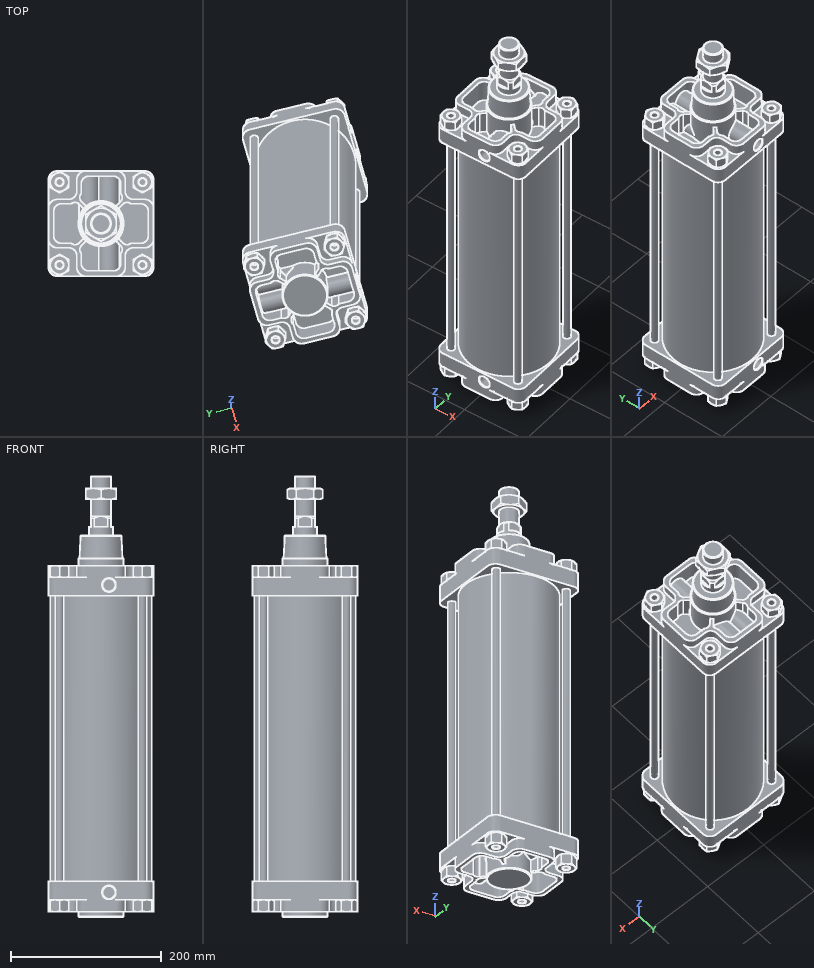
import cadquery as cq
import math

TOTAL_LENGTH = 585
CAP_SIZE = 140.0
CAP_HEIGHT = 40.5
PILOT_DIAMETER = 60.0
PILOT_HEIGHT = 7.0
FRONT_CAP_TOP = 466.0
FRONT_CAP_BOTTOM = FRONT_CAP_TOP - CAP_HEIGHT
REAR_CAP_BOTTOM = PILOT_HEIGHT
REAR_CAP_TOP = REAR_CAP_BOTTOM + CAP_HEIGHT

CORNER_RADIUS = 12.0
INNER_CORNER_RADIUS = 10.5
RECESS_DEPTH = 16.0
LOBE_HALF_WIDTH = 32.0
POCKET_FLOOR = 7.0
POCKET_HALF_WIDTH = 26.5
POCKET_WALL = 7.0
RELIEF_DIAMETER = 15.0
RELIEF_REACH = 28.0
RIB_THICKNESS = 4.5
PILOT_CHAMFER = 1.0

PORT_MOUTH_DIAMETER = 19.0
PORT_DIAMETER = 17.0
PORT_OFFSET = 10.5
PORT_HEIGHT = 14.5
PORT_DEPTH = 35
PORT_BOSS_DIAMETER = 27.0
BLIND_BOSS_OFFSET = -16.0
BLIND_BOSS_HEIGHT = 10.5

BARREL_DIAMETER = 135.0
TIE_ROD_DIAMETER = 11.0
TIE_ROD_SPACING = 110.0
TIE_NUT_FLATS = 24.5
TIE_NUT_HOLE = 10.0
TIE_NUT_HOLE_CHAMFER = 0.5

GLAND_SHOULDER_TOP = 476.0
GLAND_TOP = 506.5
GLAND_CONE_BASE_DIAMETER = 57.5
GLAND_CHAMFER = 1.0
GLAND_CONE_TOP_DIAMETER = 54.5

ROD_DIAMETER = 32.0
THREAD_DIAMETER = 27.0
WRENCH_FLATS = 27.0
WRENCH_BOTTOM = 518.0
WRENCH_TOP = 532.0
THREAD_CHAMFER = 1.0
ROD_CHAMFER = (ROD_DIAMETER - THREAD_DIAMETER) / 2

LOCK_NUT_FLATS = 41.0
LOCK_NUT_BOTTOM = 554.0
LOCK_NUT_HEIGHT = 14.5

NUT_CHAMFER_ANGLE = math.radians(30)


def cylinder(diameter, bottom, top):
    return cq.Workplane("XY").workplane(offset=bottom).circle(diameter / 2).extrude(top - bottom)


def hexagon(flats, bottom, height):
    """Hexagonal prism with corners on +Y and -Y, its corners chamfered at both ends."""
    corner_radius = flats / 2 / math.cos(math.pi / 6)
    drop = (corner_radius - flats / 2) * math.tan(NUT_CHAMFER_ANGLE)
    prism = cq.Workplane("XY").polygon(6, 2 * corner_radius).extrude(height)
    prism = prism.rotate((0, 0, 0), (0, 0, 1), 30)
    envelope = (
        cq.Workplane("XZ")
        .polyline([
            (0, 0),
            (flats / 2, 0),
            (corner_radius, drop),
            (corner_radius, height - drop),
            (flats / 2, height),
            (0, height),
        ])
        .close()
        .revolve(360, (0, 0), (0, 1))
    )
    return prism.intersect(envelope).translate((0, 0, bottom))


def corner_recesses():
    """Four corner notches that leave a cross of rounded lobes around the tie-rod nuts."""
    edge = CAP_SIZE / 2
    arc_start = LOBE_HALF_WIDTH - CORNER_RADIUS
    arc_end = edge - CORNER_RADIUS
    bulge = CORNER_RADIUS * math.sqrt(0.5)
    lobe_arc_near = (arc_start + bulge, arc_end + bulge)
    lobe_arc_far = (arc_end + bulge, arc_start + bulge)
    notch = (
        cq.Workplane("XY")
        .workplane(offset=CAP_HEIGHT - RECESS_DEPTH)
        .moveTo(arc_start, edge)
        .threePointArc(lobe_arc_near, (LOBE_HALF_WIDTH, arc_end))
        .lineTo(LOBE_HALF_WIDTH, LOBE_HALF_WIDTH)
        .lineTo(arc_end, LOBE_HALF_WIDTH)
        .threePointArc(lobe_arc_far, (edge, arc_start))
        .lineTo(edge, edge)
        .close()
        .extrude(RECESS_DEPTH)
    )
    inner_corner = cq.selectors.NearestToPointSelector(
        (LOBE_HALF_WIDTH, LOBE_HALF_WIDTH, CAP_HEIGHT - RECESS_DEPTH / 2)
    )
    notch = notch.edges(inner_corner).fillet(INNER_CORNER_RADIUS)
    notches = cq.Workplane("XY")
    for quarter in range(4):
        notches = notches.add(notch.rotate((0, 0, 0), (0, 0, 1), 90 * quarter))
    return notches.combine()


def pocket_cross():
    """Pockets inside the lobes, parted by diagonal ribs and eased by round reliefs beside them."""
    length = CAP_SIZE - 2 * POCKET_WALL
    width = 2 * POCKET_HALF_WIDTH
    depth = CAP_HEIGHT - POCKET_FLOOR
    arm = (
        cq.Workplane("XY")
        .workplane(offset=POCKET_FLOOR)
        .rect(length, width)
        .extrude(depth)
        .edges("|Z")
        .fillet(INNER_CORNER_RADIUS)
    )
    cross = arm.union(arm.rotate((0, 0, 0), (0, 0, 1), 90))
    relief_radius = RELIEF_DIAMETER / 2
    relief_x = RELIEF_REACH - relief_radius
    relief_y = relief_x + RIB_THICKNESS * math.sqrt(0.5) + relief_radius * math.sqrt(2)
    for x, y in ((relief_x, relief_y), (relief_y, relief_x)):
        reliefs = (
            cq.Workplane("XY")
            .workplane(offset=POCKET_FLOOR)
            .rect(2 * x, 2 * y, forConstruction=True)
            .vertices()
            .circle(relief_radius)
            .extrude(depth)
        )
        cross = cross.union(reliefs)
    for angle in (45, 135):
        rib = cq.Workplane("XY").box(CAP_SIZE, RIB_THICKNESS, CAP_HEIGHT, centered=(True, True, False))
        cross = cross.cut(rib.rotate((0, 0, 0), (0, 0, 1), angle))
    return cross


def port_boss(offset, height, start_y, end_y):
    """Round boss along Y, kept within the thickness of the cap."""
    return (
        cq.Workplane("XZ", origin=(offset, end_y, height))
        .circle(PORT_BOSS_DIAMETER / 2)
        .extrude(end_y - start_y)
        .intersect(cq.Workplane("XY").box(CAP_SIZE, CAP_SIZE, CAP_HEIGHT, centered=(True, True, False)))
    )


def end_cap():
    """Cap with its flat barrel side at Z = 0 and its lobed, pocketed side and round pilot facing +Z."""
    half = CAP_SIZE / 2
    cap = (
        cq.Workplane("XY")
        .rect(CAP_SIZE, CAP_SIZE)
        .extrude(CAP_HEIGHT)
        .edges("|Z")
        .fillet(CORNER_RADIUS)
        .cut(corner_recesses())
    )
    boss_end = half - POCKET_WALL / 2
    pockets = pocket_cross()
    pockets = pockets.cut(port_boss(PORT_OFFSET, PORT_HEIGHT, -boss_end, boss_end))
    pockets = pockets.cut(port_boss(BLIND_BOSS_OFFSET, BLIND_BOSS_HEIGHT, 0, boss_end))
    port = (
        cq.Workplane("XZ", origin=(PORT_OFFSET, -half + PORT_DEPTH, PORT_HEIGHT))
        .circle(PORT_DIAMETER / 2)
        .extrude(PORT_DEPTH)
    )
    mouth = (
        cq.Workplane("XZ", origin=(PORT_OFFSET, -half, PORT_HEIGHT))
        .circle(PORT_MOUTH_DIAMETER / 2)
        .workplane(offset=-(PORT_MOUTH_DIAMETER - PORT_DIAMETER) / 2)
        .circle(PORT_DIAMETER / 2)
        .loft()
    )
    hub = cylinder(PILOT_DIAMETER, 0, CAP_HEIGHT + PILOT_HEIGHT)
    hub = hub.faces(">Z").chamfer(PILOT_CHAMFER)
    cap = cap.cut(pockets).cut(port).cut(mouth).union(hub)
    nut = tie_rod_nut()
    for x in (-TIE_ROD_SPACING / 2, TIE_ROD_SPACING / 2):
        for y in (-TIE_ROD_SPACING / 2, TIE_ROD_SPACING / 2):
            cap = cap.union(nut.translate((x, y, 0)))
    return cap


def tie_rod_nut():
    """Hexagon standing on the recess floor, with a blind hole in its end."""
    nut = hexagon(TIE_NUT_FLATS, CAP_HEIGHT - RECESS_DEPTH, RECESS_DEPTH)
    return (
        nut.faces(">Z")
        .workplane(origin=(0, 0, CAP_HEIGHT))
        .cskHole(TIE_NUT_HOLE, TIE_NUT_HOLE + 2 * TIE_NUT_HOLE_CHAMFER, 90, RECESS_DEPTH)
    )


def gland():
    """Shoulder and tapered sleeve that stand on the front cap around the rod."""
    shoulder = cylinder(PILOT_DIAMETER, FRONT_CAP_TOP, GLAND_SHOULDER_TOP)
    shoulder = shoulder.faces(">Z").chamfer(GLAND_CHAMFER)
    sleeve = (
        cq.Workplane("XY")
        .workplane(offset=GLAND_SHOULDER_TOP)
        .circle(GLAND_CONE_BASE_DIAMETER / 2)
        .workplane(offset=GLAND_TOP - GLAND_SHOULDER_TOP)
        .circle(GLAND_CONE_TOP_DIAMETER / 2)
        .loft()
        .faces(">Z")
        .chamfer(GLAND_CHAMFER)
    )
    return shoulder.union(sleeve)


def make_housing():
    """Barrel, both end caps, tie rods and gland, with a blind bore for the rod."""
    cap = end_cap()
    front_cap = cap.translate((0, 0, FRONT_CAP_BOTTOM))
    rear_cap = cap.mirror("XY").translate((0, 0, REAR_CAP_TOP))
    barrel = cylinder(BARREL_DIAMETER, REAR_CAP_TOP, FRONT_CAP_BOTTOM)
    tie_rods = (
        cq.Workplane("XY")
        .workplane(offset=REAR_CAP_TOP)
        .rect(TIE_ROD_SPACING, TIE_ROD_SPACING, forConstruction=True)
        .vertices()
        .circle(TIE_ROD_DIAMETER / 2)
        .extrude(FRONT_CAP_BOTTOM - REAR_CAP_TOP)
    )
    housing = front_cap.union(barrel).union(rear_cap).union(tie_rods).union(gland())
    return housing.cut(cylinder(ROD_DIAMETER, FRONT_CAP_BOTTOM, GLAND_TOP))


def make_rod():
    """Piston rod with four wrench flats below its threaded end."""
    shank = cylinder(ROD_DIAMETER, FRONT_CAP_BOTTOM, WRENCH_TOP).faces(">Z").chamfer(ROD_CHAMFER)
    flat_zone = cq.Workplane("XY").workplane(offset=WRENCH_BOTTOM)
    outside_flats = (
        flat_zone.rect(2 * ROD_DIAMETER, 2 * ROD_DIAMETER)
        .rect(WRENCH_FLATS, WRENCH_FLATS)
        .extrude(WRENCH_TOP - WRENCH_BOTTOM)
    )
    thread = cylinder(THREAD_DIAMETER, WRENCH_TOP, TOTAL_LENGTH).faces(">Z").chamfer(THREAD_CHAMFER)
    return shank.cut(outside_flats).union(thread)


def make_lock_nut():
    nut = hexagon(LOCK_NUT_FLATS, LOCK_NUT_BOTTOM, LOCK_NUT_HEIGHT)
    return nut.cut(cylinder(THREAD_DIAMETER, LOCK_NUT_BOTTOM, LOCK_NUT_BOTTOM + LOCK_NUT_HEIGHT))


housing = make_housing()
rod = make_rod()
lock_nut = make_lock_nut()

result = cq.Compound.makeCompound([housing.val(), rod.val(), lock_nut.val()])